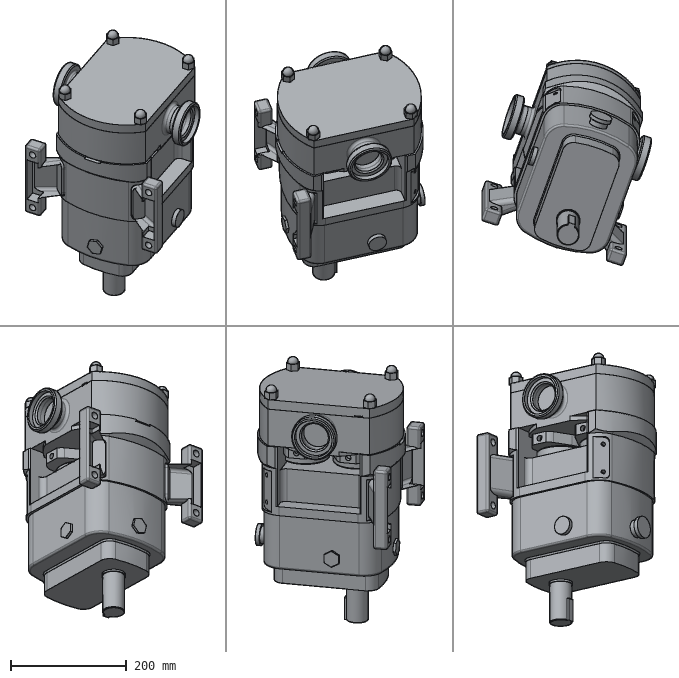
import cadquery as cq
import math


SHAFT_COLLAR_Z = 70.0
NOSE_BOTTOM = 73.5
GEARBOX_BOTTOM = 111.5
LANTERN_BOTTOM = 212.0
WINDOW_SILL = 228.5
BEARING_TOP = 288.7
TAPER_BOTTOM = 298.0
SEAL_BOTTOM = 292.0
SEAL_TOP = 310.5
CLAMP_TOP = 330.0
CASE_BOTTOM = 338.0
COVER_BOTTOM = 405.5
COVER_TOP = 423.0
NUT_HEX_TOP = 435.5
NUT_TOP = 445.5

CASE_RADIUS = 124.8
CASE_HALF_X = 85.5
COVER_INSET = 0.22
SPIGOT_RADIUS = 92.5
COLLAR_RADIUS = 128.0
BODY_HALF_X = 88.5
LANTERN_HALF_Y = 117.5
GEARBOX_HALF_X = 84.0
GEARBOX_HALF_Y = 114.0
NOSE_HALF_X = 51.0
NOSE_HALF_Y = 96.2
END_RADIUS = 200.5
LANTERN_CORNER_RADIUS = 39.5
GEARBOX_CORNER_RADIUS = 35.5
NOSE_CORNER_RADIUS = 19.5
GEARBOX_BOTTOM_FILLET = 3.5
NECK_HEIGHT = 3.5
NECK_WIDTH = 2.0
FLARE_ANGLE = 45

WINDOW_MOUTH_HALF_Y = 77.5
WINDOW_HALF_Y = 73.5
WINDOW_MOUTH_DEPTH = 1.5
POCKET_DEPTH = 29.5
POCKET_CORNER_RADIUS = 10.0
SHAFT_Y = 46.5
SHAFT_RADIUS = 19.0
SHAFT_COLLAR_RADIUS = 20.5
SHAFT_CHAMFER = 1.5
SHOULDER_RADIUS = 25.0
SEAL_RADIUS = 42.0
SEAL_CHAMFER = 2.2
CLAMP_RADIUS = 45.5
LUG_RADIUS = 26.5
LUG_X = 40.5
LUG_FLAT_WIDTH = 28.5
CLAMP_HOLE_RADIUS = 5.0
CLAMP_HOLE_DEPTH = 9.0
KEY_WIDTH = 12.0
KEY_LENGTH = 40.0
KEY_HEIGHT = 2.5

PORT_Z = 373.0
PORT_FACE_X = 124.5
PORT_FLANGE_THICKNESS = 16.0
PORT_FLANGE_RADIUS = 39.0
PORT_FLANGE_CHAMFER = 2.2
PORT_NECK_RADIUS = 25.5
PORT_NECK_FILLET = 3.5
PORT_ROOT_FILLET = 5.5
PORT_BORE_RADIUS = 24.0
PORT_BORE_CHAMFER = 2.5
PORT_BORE_DEPTH = 27.0
PORT_SEAT_RADIUS = 33.5
PORT_SEAT_DEPTH = 8.5

NUT_X = 74.0
NUT_Y = 88.2
NUT_ACROSS_FLATS = 20.5
DOME_RADIUS = 9.5

PLUG_Z = 140.5
PLUG_Y = 23.0
PLUG_ACROSS_FLATS = 26.0
SIDE_PLUG_TURN = 30
END_PLUG_TURN = 15
FITTING_OVERLAP = 4.5
PLUG_HEIGHT = 4.5
SIGHT_GLASS_RADIUS = 16.0
SIGHT_GLASS_HEIGHT = 7.5
BREATHER_NECK_RADIUS = 15.5
BREATHER_HEAD_RADIUS = 19.0
BREATHER_HEAD_BOTTOM = 124.5
BREATHER_TOP = 131.5

COLLAR_SLOT_HALF_WIDTH = 15.0
COLLAR_SLOT_DEPTH = 6.5
COLLAR_SLOT_HEIGHT = 3.5
COVER_SLOT_Y = -70.5
COVER_SLOT_WIDTH = 13.5
COVER_SLOT_HEIGHT = 2.2
COVER_SLOT_DEPTH = 4.5

PAD_OUTER = (88.5, -82.5)
PAD_INNER = (64.0, -104.3)
PAD_BOTTOM = 216.0
PAD_TOP = 291.5
PAD_CORNER_RADIUS = 9.0
PAD_CUT_SIZE = 44.5
PAD_HOLE_RADIUS = 3.5
PAD_HOLE_DEPTH = 13.5
PAD_HOLE_OFFSET = 10.5
PAD_HOLE_SPACING = 50.5

BAR_X = (99.0, 129.0)
BAR_Y = (-133.2, -108.3)
BAR_Z = (181.5, 326.0)
BAR_FILLET = 4.0
ARM_BACK_ROOT = (83.0, -88.0)
ARM_BACK_TIP = (124.0, -109.0)
ARM_FRONT_TIP = (99.5, -133.2)
ARM_CLEARANCE = 1.0
ARM_FLANGE = 3.0
CHANNEL_FILLET = 6.0
ARM_BACK_FILLET = 9.0
ARM_FRONT_FILLET = 11.0
PLATE_BACK = (86.5, -94.5)
PLATE_FRONT = (70.0, -108.5)
WEB_END = (120.8, -112.7)
BAR_WALL = 5.0
BAR_POCKET_Z = (210.8, 296.5)
BOLT_X = 113.5
BOLT_SPACING = 115.0
BOLT_RADIUS = 6.2


def block(x_range, y_range, z_range):
    """Box between the given limits."""
    return (
        cq.Workplane("XY")
        .box(
            x_range[1] - x_range[0],
            y_range[1] - y_range[0],
            z_range[1] - z_range[0],
            centered=False,
        )
        .translate((x_range[0], y_range[0], z_range[0]))
    )


def disc(radius, bottom, top, y=0.0):
    """Upright cylinder on the X = 0 plane."""
    return cq.Workplane("XY", origin=(0, y, bottom)).circle(radius).extrude(top - bottom)


def flatted_circle(radius, half_x, bottom, top):
    """Disc with two flats facing -X and +X."""
    flats = block((-half_x, half_x), (-radius, radius), (bottom, top))
    return disc(radius, bottom, top).intersect(flats)


def rounded_outline(half_x, half_y, corner_radius, bottom):
    """Flat sides facing X, wide end arcs facing Y, blended by tangent corner arcs."""
    arc_centre_y = half_y - END_RADIUS
    corner_x = half_x - corner_radius
    lean = math.acos(corner_x / (END_RADIUS - corner_radius))
    corner_y = arc_centre_y + (END_RADIUS - corner_radius) * math.sin(lean)

    def corner_point(angle):
        return (
            corner_x + corner_radius * math.cos(angle),
            corner_y + corner_radius * math.sin(angle),
        )

    mid_x, mid_y = corner_point(lean / 2)
    end_x, end_y = corner_point(lean)
    return (
        cq.Workplane("XY", origin=(0, 0, bottom))
        .moveTo(half_x, -corner_y)
        .lineTo(half_x, corner_y)
        .threePointArc((mid_x, mid_y), (end_x, end_y))
        .threePointArc((0, half_y), (-end_x, end_y))
        .threePointArc((-mid_x, mid_y), (-half_x, corner_y))
        .lineTo(-half_x, -corner_y)
        .threePointArc((-mid_x, -mid_y), (-end_x, -end_y))
        .threePointArc((0, -half_y), (end_x, -end_y))
        .threePointArc((mid_x, -mid_y), (half_x, -corner_y))
        .close()
    )


def make_casing():
    """Cover, rotor case, collar, lantern, gearbox and nose stacked along Z."""
    case = flatted_circle(CASE_RADIUS, CASE_HALF_X, CASE_BOTTOM, COVER_BOTTOM)
    cover = flatted_circle(
        CASE_RADIUS - COVER_INSET, CASE_HALF_X - COVER_INSET, COVER_BOTTOM, COVER_TOP
    )
    collar = flatted_circle(COLLAR_RADIUS, BODY_HALF_X, TAPER_BOTTOM, CASE_BOTTOM)
    flare = rounded_outline(
        BODY_HALF_X, LANTERN_HALF_Y, LANTERN_CORNER_RADIUS, TAPER_BOTTOM
    ).extrude(CASE_BOTTOM - TAPER_BOTTOM, taper=-FLARE_ANGLE)
    lantern = rounded_outline(
        BODY_HALF_X, LANTERN_HALF_Y, LANTERN_CORNER_RADIUS, LANTERN_BOTTOM
    ).extrude(TAPER_BOTTOM - LANTERN_BOTTOM)
    gearbox = (
        rounded_outline(GEARBOX_HALF_X, GEARBOX_HALF_Y, GEARBOX_CORNER_RADIUS, GEARBOX_BOTTOM)
        .extrude(LANTERN_BOTTOM - GEARBOX_BOTTOM)
        .faces("<Z")
        .edges()
        .fillet(GEARBOX_BOTTOM_FILLET)
    )
    nose = rounded_outline(NOSE_HALF_X, NOSE_HALF_Y, NOSE_CORNER_RADIUS, NOSE_BOTTOM).extrude(
        GEARBOX_BOTTOM - NOSE_BOTTOM
    )
    neck = rounded_outline(
        NOSE_HALF_X, NOSE_HALF_Y, NOSE_CORNER_RADIUS, GEARBOX_BOTTOM - NECK_HEIGHT
    ).extrude(NECK_HEIGHT, taper=-math.degrees(math.atan(NECK_WIDTH / NECK_HEIGHT)))
    casing = collar.intersect(flare)
    for part in (case, cover, lantern, gearbox, nose, neck):
        casing = casing.union(part)
    return casing


def cut_window(body):
    """Opening across the lantern, with a deeper pocket on each side of the bearing block."""
    opening = block(
        (-BODY_HALF_X, BODY_HALF_X), (-WINDOW_HALF_Y, WINDOW_HALF_Y), (BEARING_TOP, CASE_BOTTOM)
    )
    floor_x = BODY_HALF_X - POCKET_DEPTH
    pocket = (
        cq.Workplane("XY", origin=(0, 0, WINDOW_SILL))
        .polyline(
            [
                (BODY_HALF_X, -WINDOW_MOUTH_HALF_Y),
                (BODY_HALF_X, WINDOW_MOUTH_HALF_Y),
                (BODY_HALF_X - WINDOW_MOUTH_DEPTH, WINDOW_HALF_Y),
                (floor_x, WINDOW_HALF_Y),
                (floor_x, -WINDOW_HALF_Y),
                (BODY_HALF_X - WINDOW_MOUTH_DEPTH, -WINDOW_HALF_Y),
            ]
        )
        .close()
        .extrude(CASE_BOTTOM - WINDOW_SILL)
        .edges("|Z and <X")
        .fillet(POCKET_CORNER_RADIUS)
    )
    return body.cut(opening).cut(pocket).cut(pocket.mirror("YZ"))


def make_clamp(y):
    """Clamp ring drawn out by tangent flanks to a lug on each side, with blind screw holes."""
    height = CLAMP_TOP - SEAL_TOP
    flat_x = LUG_X + math.sqrt(LUG_RADIUS**2 - (LUG_FLAT_WIDTH / 2) ** 2)
    normal_x = (CLAMP_RADIUS - LUG_RADIUS) / LUG_X
    normal_y = math.sqrt(1 - normal_x**2)
    ring_tangent = (CLAMP_RADIUS * normal_x, CLAMP_RADIUS * normal_y)
    lug_tangent = (LUG_X + LUG_RADIUS * normal_x, LUG_RADIUS * normal_y)
    lug_half = (
        cq.Workplane("XY", origin=(0, y, SEAL_TOP))
        .moveTo(0, -ring_tangent[1])
        .lineTo(ring_tangent[0], -ring_tangent[1])
        .lineTo(lug_tangent[0], -lug_tangent[1])
        .radiusArc((flat_x, -LUG_FLAT_WIDTH / 2), -LUG_RADIUS)
        .lineTo(flat_x, LUG_FLAT_WIDTH / 2)
        .radiusArc(lug_tangent, -LUG_RADIUS)
        .lineTo(*ring_tangent)
        .lineTo(0, ring_tangent[1])
        .close()
        .extrude(height)
    )
    hole = (
        cq.Workplane("YZ", origin=(flat_x, y, SEAL_TOP + height / 2))
        .circle(CLAMP_HOLE_RADIUS)
        .extrude(-CLAMP_HOLE_DEPTH)
    )
    lug_half = lug_half.cut(hole)
    return disc(CLAMP_RADIUS, SEAL_TOP, CLAMP_TOP, y).union(lug_half).union(lug_half.mirror("YZ"))


def make_seals():
    """Spigot under the rotor case and a seal stack on each shaft."""
    seals = flatted_circle(SPIGOT_RADIUS, CASE_HALF_X, CLAMP_TOP, CASE_BOTTOM)
    for y in (-SHAFT_Y, SHAFT_Y):
        seal_ring = disc(SEAL_RADIUS, SEAL_BOTTOM, SEAL_TOP, y).edges().chamfer(SEAL_CHAMFER)
        shoulder = disc(SHOULDER_RADIUS, BEARING_TOP, SEAL_BOTTOM, y)
        seals = seals.union(make_clamp(y)).union(seal_ring).union(shoulder)
    return seals


def make_drive_shaft():
    """Drive shaft end with its collar and key."""
    shaft = disc(SHAFT_RADIUS, 0, NOSE_BOTTOM, -SHAFT_Y).faces("<Z").chamfer(SHAFT_CHAMFER)
    collar = disc(SHAFT_COLLAR_RADIUS, SHAFT_COLLAR_Z, NOSE_BOTTOM, -SHAFT_Y)
    key = block(
        (-KEY_WIDTH / 2, KEY_WIDTH / 2),
        (-SHAFT_Y, -SHAFT_Y + SHAFT_RADIUS + KEY_HEIGHT),
        (0, KEY_LENGTH),
    )
    return shaft.union(collar).union(key)


def make_port():
    """Flanged pipe stub on the +X side of the rotor case, with a seat and a blind bore."""
    flange_back = PORT_FACE_X - PORT_FLANGE_THICKNESS
    rim = PORT_FLANGE_RADIUS - PORT_FLANGE_CHAMFER
    seat_x = PORT_FACE_X - PORT_SEAT_DEPTH
    bore_end = PORT_FACE_X - PORT_BORE_DEPTH
    return (
        cq.Workplane("XY", origin=(0, 0, PORT_Z))
        .moveTo(CASE_HALF_X, 0)
        .lineTo(CASE_HALF_X, PORT_NECK_RADIUS + PORT_ROOT_FILLET)
        .radiusArc((CASE_HALF_X + PORT_ROOT_FILLET, PORT_NECK_RADIUS), -PORT_ROOT_FILLET)
        .lineTo(flange_back - PORT_NECK_FILLET, PORT_NECK_RADIUS)
        .radiusArc((flange_back, PORT_NECK_RADIUS + PORT_NECK_FILLET), -PORT_NECK_FILLET)
        .lineTo(flange_back, rim)
        .lineTo(flange_back + PORT_FLANGE_CHAMFER, PORT_FLANGE_RADIUS)
        .lineTo(PORT_FACE_X - PORT_FLANGE_CHAMFER, PORT_FLANGE_RADIUS)
        .lineTo(PORT_FACE_X, rim)
        .lineTo(PORT_FACE_X, PORT_SEAT_RADIUS)
        .lineTo(seat_x, PORT_SEAT_RADIUS)
        .lineTo(seat_x, PORT_BORE_RADIUS + PORT_BORE_CHAMFER)
        .lineTo(seat_x - PORT_BORE_CHAMFER, PORT_BORE_RADIUS)
        .lineTo(bore_end, PORT_BORE_RADIUS)
        .lineTo(bore_end, 0)
        .close()
        .revolve(360, (0, 0, 0), (1, 0, 0))
    )


def make_cap_nut(x, y):
    """Domed hexagon nut on the cover."""
    across_corners = NUT_ACROSS_FLATS / math.cos(math.pi / 6)
    hexagon = (
        cq.Workplane("XY", origin=(x, y, COVER_TOP))
        .polygon(6, across_corners)
        .extrude(NUT_HEX_TOP - COVER_TOP)
    )
    dome = cq.Workplane("XY", origin=(x, y, NUT_TOP - DOME_RADIUS)).sphere(DOME_RADIUS)
    return hexagon.union(dome)


def make_gearbox_fittings():
    """Two hexagon plugs, a sight glass and a breather, all at one height."""
    across_corners = PLUG_ACROSS_FLATS / math.cos(math.pi / 6)
    side_plug = (
        cq.Workplane("YZ", origin=(-GEARBOX_HALF_X - PLUG_HEIGHT, -PLUG_Y, PLUG_Z))
        .transformed(rotate=(0, 0, SIDE_PLUG_TURN))
        .polygon(6, across_corners)
        .extrude(PLUG_HEIGHT + FITTING_OVERLAP)
    )
    end_plug = (
        cq.Workplane("XZ", origin=(0, -GEARBOX_HALF_Y + FITTING_OVERLAP, PLUG_Z))
        .transformed(rotate=(0, 0, END_PLUG_TURN))
        .polygon(6, across_corners)
        .extrude(PLUG_HEIGHT + FITTING_OVERLAP)
    )
    sight_glass = (
        cq.Workplane("YZ", origin=(GEARBOX_HALF_X, PLUG_Y, PLUG_Z))
        .circle(SIGHT_GLASS_RADIUS)
        .extrude(SIGHT_GLASS_HEIGHT)
    )
    breather_neck = (
        cq.Workplane("XZ", origin=(0, BREATHER_TOP, PLUG_Z))
        .circle(BREATHER_NECK_RADIUS)
        .extrude(BREATHER_TOP - GEARBOX_HALF_Y + FITTING_OVERLAP)
    )
    breather_head = (
        cq.Workplane("XZ", origin=(0, BREATHER_TOP, PLUG_Z))
        .circle(BREATHER_HEAD_RADIUS)
        .extrude(BREATHER_TOP - BREATHER_HEAD_BOTTOM)
    )
    return side_plug.union(end_plug).union(sight_glass).union(breather_neck).union(breather_head)


def cut_pry_slots(body):
    """Slot under the rotor case at the -Y end and under the cover on the -X side."""
    collar_slot = block(
        (-COLLAR_SLOT_HALF_WIDTH, COLLAR_SLOT_HALF_WIDTH),
        (-COLLAR_RADIUS, -COLLAR_RADIUS + COLLAR_SLOT_DEPTH),
        (CASE_BOTTOM - COLLAR_SLOT_HEIGHT, CASE_BOTTOM),
    )
    cover_slot = block(
        (-CASE_HALF_X, -CASE_HALF_X + COVER_SLOT_DEPTH),
        (COVER_SLOT_Y - COVER_SLOT_WIDTH / 2, COVER_SLOT_Y + COVER_SLOT_WIDTH / 2),
        (COVER_BOTTOM, COVER_BOTTOM + COVER_SLOT_HEIGHT),
    )
    return body.cut(collar_slot).cut(cover_slot)


def pad_plane():
    """Plane of the +X, -Y foot pad, from its inner end, facing outwards."""
    along = cq.Vector(PAD_OUTER[0] - PAD_INNER[0], PAD_OUTER[1] - PAD_INNER[1], 0)
    outward = cq.Vector(along.y, -along.x, 0)
    origin = (PAD_INNER[0], PAD_INNER[1], (PAD_BOTTOM + PAD_TOP) / 2)
    return cq.Plane(origin=origin, xDir=along, normal=outward)


def cut_foot_pads(body):
    """Flat recesses on the four lantern corners; the two at +Y, without feet, have screw holes."""
    recess = (
        cq.Workplane(pad_plane())
        .rect(2 * PAD_CUT_SIZE, PAD_TOP - PAD_BOTTOM)
        .extrude(PAD_CUT_SIZE)
        .translate(pad_plane().xDir * PAD_CUT_SIZE)
    )
    inner_corners = cq.selectors.BoxSelector(
        (PAD_INNER[0] - 4.5, PAD_INNER[1] - PAD_CUT_SIZE, PAD_BOTTOM - 4.5),
        (PAD_INNER[0] + PAD_CUT_SIZE, PAD_INNER[1] + 4.5, PAD_TOP + 4.5),
    )
    recess = recess.edges(cq.selectors.ParallelDirSelector(pad_plane().zDir)).edges(
        inner_corners
    ).fillet(PAD_CORNER_RADIUS)
    holes = (
        cq.Workplane(pad_plane())
        .pushPoints([(PAD_HOLE_OFFSET, -PAD_HOLE_SPACING / 2), (PAD_HOLE_OFFSET, PAD_HOLE_SPACING / 2)])
        .circle(PAD_HOLE_RADIUS)
        .extrude(-PAD_HOLE_DEPTH)
    )
    free_pad = recess.union(holes).mirror("XZ")
    for pad in (recess, free_pad):
        body = body.cut(pad).cut(pad.mirror("YZ"))
    return body


def make_pump():
    """The whole pump body as one solid."""
    body = cut_foot_pads(cut_window(cut_pry_slots(make_casing())))
    port = make_port()
    pieces = [make_seals(), make_drive_shaft(), port, port.mirror("YZ"), make_gearbox_fittings()]
    for x in (-NUT_X, NUT_X):
        for y in (-NUT_Y, NUT_Y):
            pieces.append(make_cap_nut(x, y))
    for piece in pieces:
        body = body.union(piece)
    return body


def edges_along(start, end):
    """Selector for the level edges that run from one plan point to another."""
    return cq.selectors.ParallelDirSelector(cq.Vector(end[0] - start[0], end[1] - start[1], 0))


def make_foot():
    """Foot at +X: upright mounting bar on a channel arm that bolts to the pad."""
    arm_bottom = PAD_BOTTOM + ARM_CLEARANCE
    arm_height = PAD_TOP - PAD_BOTTOM - 2 * ARM_CLEARANCE
    bar = block(BAR_X, BAR_Y, BAR_Z).edges().fillet(BAR_FILLET)
    arm = (
        cq.Workplane("XY", origin=(0, 0, arm_bottom))
        .polyline([ARM_BACK_ROOT, ARM_BACK_TIP, ARM_FRONT_TIP, PAD_INNER])
        .close()
        .extrude(arm_height)
        .edges(edges_along(ARM_BACK_ROOT, ARM_BACK_TIP))
        .fillet(ARM_BACK_FILLET)
        .edges(edges_along(PAD_INNER, ARM_FRONT_TIP))
        .fillet(ARM_FRONT_FILLET)
    )
    wall_x = BAR_X[1] - BAR_WALL
    channel = (
        cq.Workplane("XY", origin=(0, 0, arm_bottom + ARM_FLANGE))
        .polyline(
            [
                PLATE_FRONT,
                PLATE_BACK,
                WEB_END,
                (wall_x, WEB_END[1]),
                (wall_x, BAR_Y[0]),
                (PLATE_FRONT[0], BAR_Y[0]),
            ]
        )
        .close()
        .extrude(arm_height - 2 * ARM_FLANGE)
        .edges(edges_along(PLATE_BACK, WEB_END))
        .fillet(CHANNEL_FILLET)
    )
    bar_pocket = block((BAR_X[0] + BAR_FILLET, wall_x), (BAR_Y[0], WEB_END[1]), BAR_POCKET_Z)
    bolt_holes = (
        cq.Workplane("XZ", origin=(BOLT_X, BAR_Y[1], sum(BAR_Z) / 2))
        .pushPoints([(0, -BOLT_SPACING / 2), (0, BOLT_SPACING / 2)])
        .circle(BOLT_RADIUS)
        .extrude(BAR_Y[1] - BAR_Y[0])
    )
    return bar.union(arm).cut(channel).cut(bar_pocket).cut(bolt_holes)


pump = make_pump()
foot = make_foot()
feet = [foot, foot.mirror("YZ")]
result = cq.Compound.makeCompound([pump.val(), *[f.val() for f in feet]])